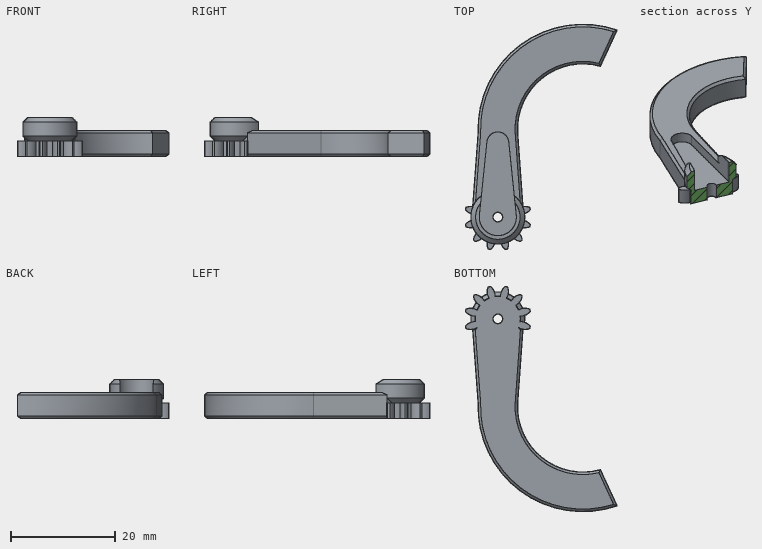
import cadquery as cq
import math

arm_thickness = 5.0
arm_chamfer = 0.5
bend_center_x = 16.28
bend_center_y = 16.83
bend_half_width = 3.8
outer_radius = bend_center_x + bend_half_width
inner_radius = bend_center_x - bend_half_width
bend_start_y = 16.1
shoulder_half_width = 4.83
shoulder_y = 2.0
nose_half_width = 3.36
end_outer_angle = 70.9
end_inner_angle = 74.4
bend_mid_angle = 125

boss_radius = 5.17
boss_bottom = 3.0
boss_top = 7.5
boss_chamfer = 0.92

gear_height = 3.0
tooth_step = 30
first_tooth_angle = 165
tooth_count = 8
root_radius = 4.35
flank_radius = 5.2
tip_radius = 6.39
root_half_width = 0.6
flank_half_width = 0.7
tip_half_width = 0.22

pocket_floor = 3.0
pocket_big_radius = 3.55
pocket_small_radius = 2.1
pocket_length = 14.2
hole_diameter = 1.8


def bend_point(radius, angle):
    """Point on the bend, with the angle measured from +X in degrees."""
    turn = math.radians(angle)
    return (bend_center_x + radius * math.cos(turn), bend_center_y + radius * math.sin(turn))


def bend_start(radius):
    """Point where an arc of the bend runs into the straight part of the arm."""
    rise = bend_start_y - bend_center_y
    return (bend_center_x - math.sqrt(radius**2 - rise**2), bend_start_y)


def make_arm():
    """Tapered lever that sweeps into a hook; its narrow nose ends inside the boss."""
    return (
        cq.Workplane("XY")
        .moveTo(-nose_half_width, 0)
        .lineTo(-shoulder_half_width, shoulder_y)
        .lineTo(*bend_start(outer_radius))
        .threePointArc(bend_point(outer_radius, bend_mid_angle), bend_point(outer_radius, end_outer_angle))
        .lineTo(*bend_point(inner_radius, end_inner_angle))
        .threePointArc(bend_point(inner_radius, bend_mid_angle), bend_start(inner_radius))
        .lineTo(shoulder_half_width, shoulder_y)
        .lineTo(nose_half_width, 0)
        .close()
        .extrude(arm_thickness)
        .faces("<Z or >Z")
        .chamfer(arm_chamfer)
    )


def make_boss():
    """Disc with both rims chamfered."""
    return (
        cq.Workplane("XY", origin=(0, 0, boss_bottom))
        .circle(boss_radius)
        .extrude(boss_top - boss_bottom)
        .faces("<Z or >Z")
        .chamfer(boss_chamfer)
    )


def make_tooth():
    """One tooth pointing along +X, with bulging flanks and a flat tip."""
    return (
        cq.Workplane("XY")
        .moveTo(0, -root_half_width)
        .lineTo(root_radius, -root_half_width)
        .threePointArc((flank_radius, -flank_half_width), (tip_radius, -tip_half_width))
        .lineTo(tip_radius, tip_half_width)
        .threePointArc((flank_radius, flank_half_width), (root_radius, root_half_width))
        .lineTo(0, root_half_width)
        .close()
        .extrude(gear_height)
    )


def make_gear():
    """Disc with teeth around the side that faces away from the arm."""
    gear = cq.Workplane("XY").circle(root_radius).extrude(gear_height)
    tooth = make_tooth()
    for index in range(tooth_count):
        angle = first_tooth_angle + index * tooth_step
        gear = gear.union(tooth.rotate((0, 0, 0), (0, 0, 1), angle))
    return gear


def make_pocket():
    """Teardrop cutter: two circles joined by their common tangents, open at the top."""
    slope_sin = (pocket_big_radius - pocket_small_radius) / pocket_length
    slope_cos = math.sqrt(1 - slope_sin**2)
    big_x = pocket_big_radius * slope_cos
    big_y = pocket_big_radius * slope_sin
    small_x = pocket_small_radius * slope_cos
    small_y = pocket_length + pocket_small_radius * slope_sin
    return (
        cq.Workplane("XY", origin=(0, 0, pocket_floor))
        .moveTo(big_x, big_y)
        .lineTo(small_x, small_y)
        .threePointArc((0, pocket_length + pocket_small_radius), (-small_x, small_y))
        .lineTo(-big_x, big_y)
        .threePointArc((0, -pocket_big_radius), (big_x, big_y))
        .close()
        .extrude(boss_top - pocket_floor)
    )


pivot_hole = cq.Workplane("XY").circle(hole_diameter / 2).extrude(boss_top)

result = make_arm().union(make_boss()).union(make_gear()).cut(make_pocket()).cut(pivot_hole)